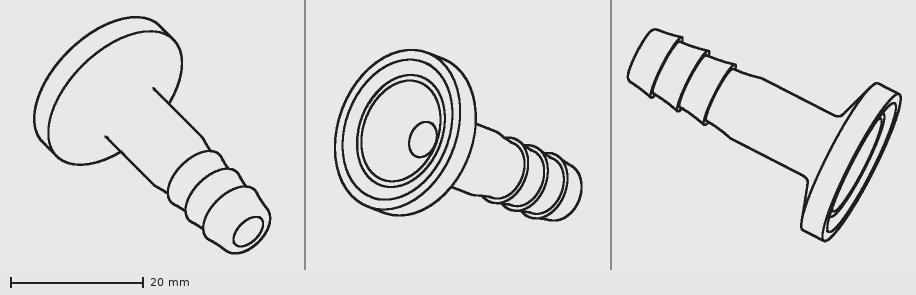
import cadquery as cq
import math

total_length = 38.1

flange_radius = 25.0 / 2
rim_width = 3.65
back_angle = math.radians(20)
neck_fillet = 1.52

shank_radius = 10.3 / 2
barb_root_radius = 4.42
barb_count = 4
barb_pitch = 4.57
flank_sag = 0.122
nose_fillet = 0.75

bore_radius = 5.52 / 2
mouth_radius = 7.9
mouth_angle = math.radians(45)

lip_recess = 0.8
lip_radius = 8.75
groove_outer_radius = 21.9 / 2
groove_wall_depth = 1.3
lip_flank_angle = math.radians(38)


def revolve_about_x(profile):
    """Turn a closed (x, radius) profile into a solid about the X axis."""
    return profile.close().revolve(360, (0, 0, 0), (1, 0, 0))


def outer_body():
    """Flange, sloped back, filleted neck and the concave barbs."""
    corner_x = rim_width + (flange_radius - shank_radius) * math.tan(back_angle)
    turn_angle = math.pi / 2 - back_angle
    neck_end = corner_x + neck_fillet * math.tan(turn_angle / 2)
    neck_centre_radius = shank_radius + neck_fillet

    def neck_point(angle):
        return (
            neck_end - neck_fillet * math.sin(angle),
            neck_centre_radius - neck_fillet * math.cos(angle),
        )

    cone_end = neck_point(turn_angle)
    neck_middle = neck_point(turn_angle / 2)

    barb_start = total_length - barb_count * barb_pitch
    mid_radius = (shank_radius + barb_root_radius) / 2 - flank_sag

    profile = (
        cq.Workplane("XY")
        .lineTo(0, flange_radius)
        .lineTo(rim_width, flange_radius)
        .lineTo(*cone_end)
        .threePointArc(neck_middle, (neck_end, shank_radius))
    )
    for index in range(barb_count):
        crest_x = barb_start + index * barb_pitch
        root_x = crest_x + barb_pitch
        profile = profile.lineTo(crest_x, shank_radius).threePointArc(
            (crest_x + barb_pitch / 2, mid_radius), (root_x, barb_root_radius)
        )
    body = revolve_about_x(profile.lineTo(total_length, 0))
    return body.faces(">X").edges().fillet(nose_fillet)


def bore():
    """Straight through bore with a conical entry that starts at the lip."""
    cone_depth = (mouth_radius - bore_radius) / math.tan(mouth_angle)
    profile = (
        cq.Workplane("XY")
        .lineTo(0, mouth_radius)
        .lineTo(lip_recess, mouth_radius)
        .lineTo(lip_recess + cone_depth, bore_radius)
        .lineTo(total_length, bore_radius)
        .lineTo(total_length, 0)
    )
    return revolve_about_x(profile)


def gasket_recess():
    """Recess over the lip, with the rounded gasket groove around it."""
    sine = math.sin(lip_flank_angle)
    cosine = math.cos(lip_flank_angle)
    wall_offset = (groove_outer_radius - lip_radius) * cosine - (groove_wall_depth - lip_recess) * sine
    bottom_radius = wall_offset / (1 + cosine)
    centre_radius = groove_outer_radius - bottom_radius
    flank_end = (groove_wall_depth + bottom_radius * sine, centre_radius - bottom_radius * cosine)
    middle_angle = (math.pi - lip_flank_angle) / 2
    bottom_middle = (
        groove_wall_depth + bottom_radius * math.sin(middle_angle),
        centre_radius + bottom_radius * math.cos(middle_angle),
    )
    profile = (
        cq.Workplane("XY")
        .lineTo(lip_recess, 0)
        .lineTo(lip_recess, lip_radius)
        .lineTo(*flank_end)
        .threePointArc(bottom_middle, (groove_wall_depth, groove_outer_radius))
        .lineTo(0, groove_outer_radius)
    )
    return revolve_about_x(profile)


result = outer_body().cut(bore()).cut(gasket_recess())